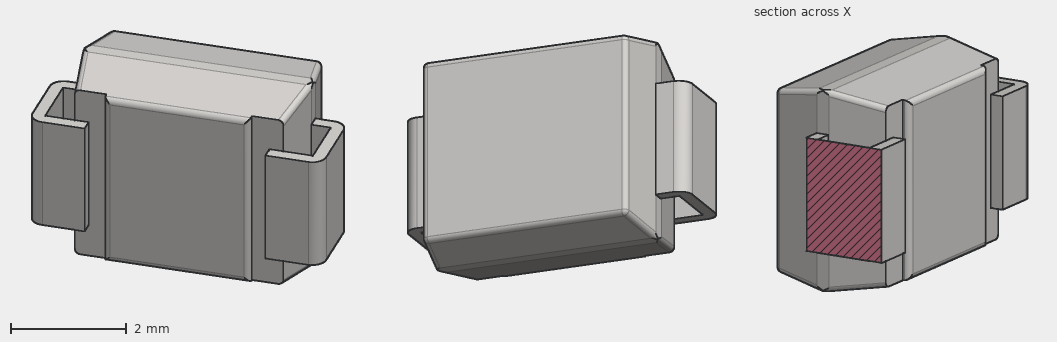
import cadquery as cq
import math


overall_length = 5.3
overall_height = 2.44
body_width = 3.6

lead_width = 2.03
lead_thickness = 0.235
lead_bend_radius = 0.25
foot_length = 1.02
lead_embed = 0.2

body_length = 4.13
band_bottom = 1.27
band_top = 1.515
draft_angle = 10
body_fillet = 0.1

standoff_bottom = 0.1
standoff_length = 2.63
recess_top = lead_thickness
standoff_fillet = 0.11

band_middle = (band_bottom + band_top) / 2
half_band = (band_top - band_bottom) / 2


def is_slanted(edge):
    """True for the corner edges of a tapered block, which lean along all three axes."""
    direction = edge.tangentAt(0)
    least_lean = 0.01
    return min(abs(direction.x), abs(direction.y), abs(direction.z)) > least_lean


def body_half(end_level):
    """Half of the body between the middle of the band and end_level, with rounded corners.

    The taper is carried on to the middle of the band, then trimmed by the straight
    band walls, so the corner rounding runs out to a point in the band.
    """
    height = abs(end_level - band_middle)
    up = math.copysign(1, end_level - band_middle)
    flare = half_band * math.tan(math.radians(draft_angle))
    base = cq.Plane(origin=(0, band_middle, 0), xDir=(1, 0, 0), normal=(0, up, 0))
    block = cq.Workplane(base).rect(body_length + 2 * flare, body_width + 2 * flare)
    block = block.extrude(height, taper=draft_angle)
    corners = [edge for edge in block.edges().vals() if is_slanted(edge)]
    block = block.newObject(corners).fillet(body_fillet)
    band_walls = cq.Workplane("XY").box(body_length, 2 * overall_height, body_width)
    return block.intersect(band_walls)


def make_upper_half():
    return body_half(overall_height).faces(">Y").edges().fillet(body_fillet)


def make_lower_half():
    half = body_half(standoff_bottom)
    recess_length = (overall_length - standoff_length) / 2
    recess_x = (standoff_length + recess_length) / 2
    for side in (-1, 1):
        recess = cq.Workplane("XY").box(recess_length, 2 * recess_top, 2 * body_width)
        half = half.cut(recess.translate((side * recess_x, 0, 0)))
    return half.faces("<Y").edges().fillet(standoff_fillet)


def make_lead():
    """The lead on the -X side."""
    outer_x = -overall_length / 2
    inner_x = outer_x + lead_thickness
    root_x = -body_length / 2 + lead_embed
    foot_tip_x = outer_x + foot_length
    outline = [
        (root_x, band_top),
        (outer_x, band_top),
        (outer_x, 0),
        (foot_tip_x, 0),
        (foot_tip_x, lead_thickness),
        (inner_x, lead_thickness),
        (inner_x, band_top - lead_thickness),
        (root_x, band_top - lead_thickness),
    ]
    lead = cq.Workplane("XY").polyline(outline).close().extrude(lead_width / 2, both=True)
    return lead.faces("<X").edges("|Z").fillet(lead_bend_radius)


body = make_upper_half().union(make_lower_half())
left_lead = make_lead()
right_lead = left_lead.mirror("YZ")
result = body.union(left_lead).union(right_lead)